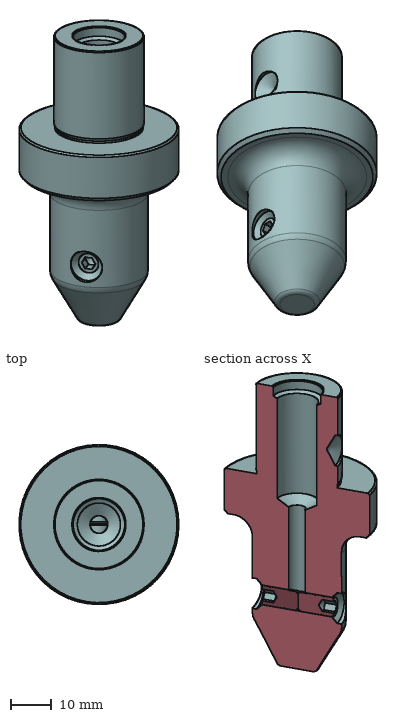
import cadquery as cq
import math

TOTAL_HEIGHT = 74.0
FLANGE_TOP = 50.0
FLANGE_BOTTOM = 37.95

SHANK_RADIUS = 11.0
SHANK_TOP_CHAMFER = 0.3
RELIEF_RADIUS = 10.8
RELIEF_HEIGHT = 0.5
RELIEF_TAPER_HEIGHT = 0.7

FLANGE_RADIUS = 39.0 / 2
FLANGE_TOP_CHAMFER = 0.45
FLANGE_BOTTOM_CHAMFER = 0.95

NOSE_RADIUS = 12.0
FLANGE_FILLET = 4.95
TIP_RADIUS = 5.0
TIP_HALF_ANGLE = 30.0
SHOULDER_ROUNDING = 3.2
TIP_ROUNDING = 1.5

DRILL_POINT_HALF_ANGLE = 60.0
COUNTERBORE_RADIUS = 6.3
COUNTERBORE_CHAMFER = 0.3
COUNTERBORE_DEPTH = 2.5
BORE_RADIUS = 5.25
BORE_BOTTOM = 44.4
FEED_HOLE_RADIUS = 2.15

CROSS_BORE_HEIGHT = 18.05
CROSS_BORE_RADIUS = 2.5
RECESS_RADIUS = 4.0
RECESS_CONE_RIM = 10.8

SCREW_LENGTH = 9.6
SCREW_TIP_CHAMFER = 0.45
SCREW_MEETING_Y = 0.2
HEX_ACROSS_FLATS = 2.95
HEX_DEPTH = 2.95

DIMPLE_HEIGHT = 59.8
DIMPLE_RADIUS = 4.0

SIDE_ANGLES = (0, 180)


def cone_depth(large_radius, small_radius=0.0):
    """Axial length of a drill-point cone between two radii."""
    return (large_radius - small_radius) / math.tan(math.radians(DRILL_POINT_HALF_ANGLE))


def revolve_about_z(points):
    """Full solid of revolution from an (r, z) outline that starts and ends on the axis."""
    return cq.Workplane("XZ").polyline(points).close().revolve(360, (0, 0, 0), (0, 1, 0))


def along_y(tool, height):
    """Turn a tool made along +Z so that it points along +Y at the given height."""
    return tool.rotate((0, 0, 0), (1, 0, 0), -90).translate((0, 0, height))


def make_outer_shape():
    """Shank, flange and tapered nose, turned as one piece."""
    taper_top = (NOSE_RADIUS - TIP_RADIUS) / math.tan(math.radians(TIP_HALF_ANGLE))
    relief_top = FLANGE_TOP + RELIEF_HEIGHT

    nose = revolve_about_z([
        (0, 0),
        (TIP_RADIUS, 0),
        (NOSE_RADIUS, taper_top),
        (NOSE_RADIUS, FLANGE_BOTTOM),
        (0, FLANGE_BOTTOM),
    ])
    nose = nose.edges("%CIRCLE and (not <Z) and (not >Z)").fillet(SHOULDER_ROUNDING)
    nose = nose.faces("<Z").edges().fillet(TIP_ROUNDING)

    fillet_cut = (
        cq.Workplane("XZ")
        .center(NOSE_RADIUS, FLANGE_BOTTOM)
        .lineTo(0, -FLANGE_FILLET)
        .radiusArc((FLANGE_FILLET, 0), FLANGE_FILLET)
        .close()
    )
    flare = fillet_cut.revolve(360, (-NOSE_RADIUS, 0, 0), (-NOSE_RADIUS, 1, 0))

    flange_and_shank = revolve_about_z([
        (0, FLANGE_BOTTOM),
        (FLANGE_RADIUS - FLANGE_BOTTOM_CHAMFER, FLANGE_BOTTOM),
        (FLANGE_RADIUS, FLANGE_BOTTOM + FLANGE_BOTTOM_CHAMFER),
        (FLANGE_RADIUS, FLANGE_TOP - FLANGE_TOP_CHAMFER),
        (FLANGE_RADIUS - FLANGE_TOP_CHAMFER, FLANGE_TOP),
        (RELIEF_RADIUS, FLANGE_TOP),
        (RELIEF_RADIUS, relief_top),
        (SHANK_RADIUS, relief_top + RELIEF_TAPER_HEIGHT),
        (SHANK_RADIUS, TOTAL_HEIGHT - SHANK_TOP_CHAMFER),
        (SHANK_RADIUS - SHANK_TOP_CHAMFER, TOTAL_HEIGHT),
        (0, TOTAL_HEIGHT),
    ])
    return nose.union(flare).union(flange_and_shank)


def make_axial_bore():
    """Chamfered counterbore, threaded bore with a drill point, and feed hole to the cross bore."""
    counterbore_bottom = TOTAL_HEIGHT - COUNTERBORE_DEPTH
    return revolve_about_z([
        (0, CROSS_BORE_HEIGHT),
        (FEED_HOLE_RADIUS, CROSS_BORE_HEIGHT),
        (FEED_HOLE_RADIUS, BORE_BOTTOM - cone_depth(BORE_RADIUS, FEED_HOLE_RADIUS)),
        (BORE_RADIUS, BORE_BOTTOM),
        (BORE_RADIUS, counterbore_bottom - cone_depth(COUNTERBORE_RADIUS, BORE_RADIUS)),
        (COUNTERBORE_RADIUS, counterbore_bottom),
        (COUNTERBORE_RADIUS, TOTAL_HEIGHT - COUNTERBORE_CHAMFER),
        (COUNTERBORE_RADIUS + COUNTERBORE_CHAMFER, TOTAL_HEIGHT),
        (0, TOTAL_HEIGHT),
    ])


def make_cross_bore_half():
    """Half of the cross bore, from the axis out through its conical recess on the +Y side."""
    cone_start = RECESS_CONE_RIM - (RECESS_RADIUS - CROSS_BORE_RADIUS)
    tool = revolve_about_z([
        (0, 0),
        (CROSS_BORE_RADIUS, 0),
        (CROSS_BORE_RADIUS, cone_start),
        (RECESS_RADIUS, RECESS_CONE_RIM),
        (RECESS_RADIUS, NOSE_RADIUS),
        (0, NOSE_RADIUS),
    ])
    return along_y(tool, CROSS_BORE_HEIGHT)


def make_dimple():
    """Drill-point dimple whose cone starts where its rim meets the shank surface."""
    rim = math.sqrt(SHANK_RADIUS**2 - DIMPLE_RADIUS**2)
    tool = revolve_about_z([
        (0, rim - cone_depth(DIMPLE_RADIUS)),
        (DIMPLE_RADIUS, rim),
        (DIMPLE_RADIUS, SHANK_RADIUS),
        (0, SHANK_RADIUS),
    ])
    return along_y(tool, DIMPLE_HEIGHT)


def to_side(shape, angle):
    """Turn a shape made on the +Y side about the Z axis."""
    return shape.rotate((0, 0, 0), (0, 0, 1), angle)


def make_housing():
    """Turned body with its bores and dimple."""
    housing = make_outer_shape().cut(make_axial_bore()).cut(make_dimple())
    for angle in SIDE_ANGLES:
        housing = housing.cut(to_side(make_cross_bore_half(), angle))
    return housing.solids()


def make_set_screw():
    """Set screw pointing along +Y, tip at Y = 0, with a hexagon socket that ends in a drill point."""
    hex_corner_radius = HEX_ACROSS_FLATS / math.sqrt(3)
    socket_floor = SCREW_LENGTH - HEX_DEPTH
    socket_point = socket_floor - cone_depth(hex_corner_radius)

    screw = cq.Workplane("XY").circle(CROSS_BORE_RADIUS).extrude(SCREW_LENGTH)
    screw = screw.faces("<Z").edges().chamfer(SCREW_TIP_CHAMFER)
    hexagon = cq.Workplane("XY").polygon(6, 2 * hex_corner_radius).extrude(SCREW_LENGTH)
    drill = revolve_about_z([
        (0, socket_point),
        (hex_corner_radius, socket_floor),
        (hex_corner_radius, SCREW_LENGTH),
        (0, SCREW_LENGTH),
    ])
    screw = screw.cut(hexagon.intersect(drill))
    return along_y(screw, CROSS_BORE_HEIGHT).solids()


housing = make_housing()

set_screws = [
    to_side(make_set_screw(), angle).translate((0, SCREW_MEETING_Y, 0))
    for angle in SIDE_ANGLES
]

result = cq.Compound.makeCompound([housing.val(), *[screw.val() for screw in set_screws]])